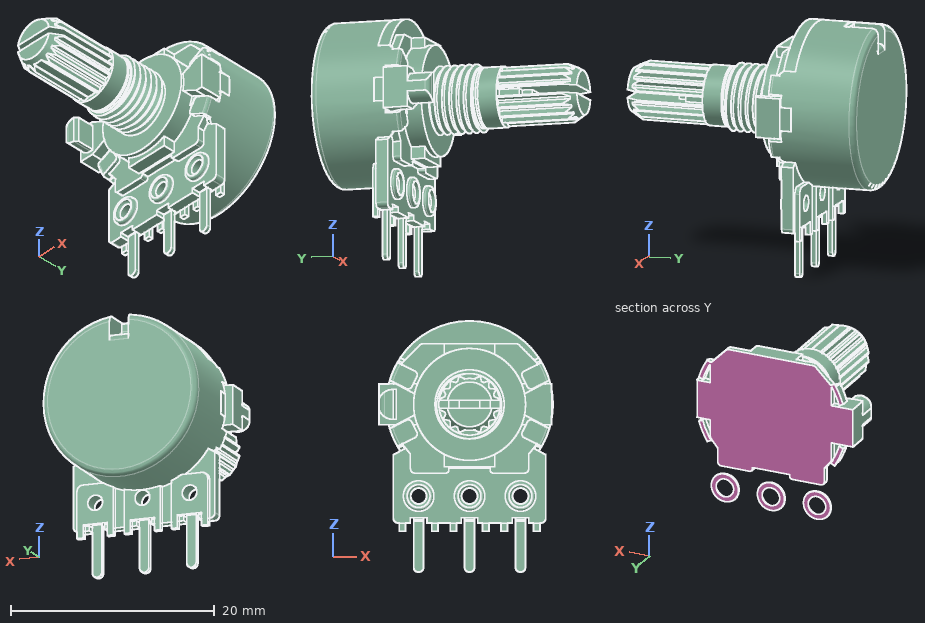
import cadquery as cq
import math


clearance = 1.0

cap_back = 10.6
plate_back = 4.5
board_back = 4.0
board_front = 2.8
cover_front = 2.0
tab_thickness = 0.5
tab_front = cover_front - tab_thickness
lug_front = 0.6
ear_front = 0.3
peg_front = -2.0
thread_end = -4.55
bushing_end = -5.0
collar_end = -6.95
shaft_end = -15.0

cap_radius = 8.2
board_radius = 8.21
cap_wall = 0.5
cap_fillet = 0.6
opening_back = 2.9
notch_half_height = 1.17
notch_flat = 8.1
notch_chamfer = 0.15

tab_angle = 26.5
tab_inner = 5.85
tab_low = -1.38
tab_high = 0.53
tab_corner = 0.4
fold_radius = 0.3
wall_edge = 1.06
wall_shoulder = 2.45
wall_bevel = 0.35
low_wall_top = 2.6

cap_slot_width = 2.0
cap_slot_floor = 6.2
cap_slot_end = 7.1
cap_slot_lip = 0.35
cap_slot_lip_radius = 0.5
cap_slot_bend = 1.05

cover_top = 5.95
cover_top_half = 4.75
cover_side = 6.6
cover_neck_z = -3.9
cover_leg_half = 5.8
cover_leg_z = -4.9
cover_bottom = -6.74
cover_corner = 0.4
recess_half = 2.02
recess_depth = 0.46
recess_fillet = 0.3
flange_radius = 5.5
lug_half_width = 2.48
lug_bottom = -6.1
ear_left = 8.9
ear_right = 8.05
ear_half_height = 2.02
ear_shoulder = 7.25
ear_base_front = 1.55
ear_root = 5.4
ear_root_half = 1.04

peg_x = -7.52
peg_radius = 1.47
peg_right = -7.18
peg_outer_fillet = 0.5
peg_inner_chamfer = 0.33

board_half_width = 7.5
board_shoulder_x = 6.8
board_shoulder_z = -4.57
board_side_top = -4.94
board_bottom = -11.66
board_corner = 0.5
terminal_pitch = 5.0
terminal_xs = [-terminal_pitch, 0.0, terminal_pitch]
notch_width = 1.6
notch_top = -11.15
pin_width = 1.0
pin_tip_radius = 0.49
pin_tip = -16.48
pin_front = 3.5
pin_bend = [(pin_front, -11.47), (3.57, -11.33), (3.8, notch_top)]
foot_half_width = 1.92
foot_inner_half = 1.27
foot_bottom = -12.46
foot_top = -7.08
foot_corner = 0.6
eyelet_z = -9.0
eyelet_radius = 1.5
eyelet_hole = 0.77
eyelet_front = 2.3
eyelet_outer_fillet = 0.28
eyelet_inner_fillet = 0.35

thread_radius = 3.4
root_radius = 3.02
thread_pitch = 0.75
thread_start = 0.915
thread_root_width = 0.745
thread_sink = 0.02
bushing_chamfer = 0.2
shaft_radius = 2.96
tip_radius = 2.2
tip_chamfer_start = -13.7
spline_core = 2.55
spline_angles = [30, 50, 70]
groove_floor_half = 0.12
groove_wall_angle = 45.0
flat_floor_half = 0.54
flat_wall_angle = 67.0
slot_width = 0.8
slot_steps = [(1.02, -10.0), (2.02, -9.0), (root_radius, collar_end)]


def face_sketch(y):
    """Workplane facing -Y at depth y: local x is X, local y is Z."""
    return cq.Workplane("XZ", origin=(0, y, 0))


def disc(radius, front, back):
    return face_sketch(back).circle(radius).extrude(back - front)


def block(x0, x1, front, back, z0, z1):
    return cq.Workplane("XY").box(x1 - x0, back - front, z1 - z0, centered=False).translate((x0, front, z0))


def prism(points, front, back):
    """Extrude an (X, Z) outline between two depths."""
    return face_sketch(back).polyline(points).close().extrude(back - front)


def mirrored_outline(half):
    """Complete an outline given as its +X half, listed from one end of the centre line to the other."""
    return half + [(-x, z) for x, z in reversed(half)]


def make_cap():
    cap = disc(cap_radius, board_back, cap_back).faces(">Y").edges().fillet(cap_fillet)
    slot_top = cap_radius + clearance
    lip_top = math.sqrt(cap_radius**2 - (cap_slot_width / 2) ** 2)
    lip_drop = cap_slot_lip_radius - math.sqrt(cap_slot_lip_radius**2 - cap_slot_lip**2)
    bend_start = cap_slot_end + cap_slot_lip + cap_slot_bend
    riser = cap_slot_end + cap_slot_lip
    slot = (
        cq.Workplane("YZ", origin=(-cap_slot_width / 2, 0, 0))
        .moveTo(cap_back, slot_top)
        .lineTo(cap_back, cap_slot_floor - cap_fillet)
        .radiusArc((cap_back - cap_fillet, cap_slot_floor), -cap_fillet)
        .lineTo(bend_start, cap_slot_floor)
        .radiusArc((riser, cap_slot_floor + cap_slot_bend), cap_slot_bend)
        .lineTo(riser, lip_top - lip_drop)
        .radiusArc((cap_slot_end, lip_top), -cap_slot_lip_radius)
        .lineTo(cap_slot_end, slot_top)
        .close()
        .extrude(cap_slot_width)
    )
    return cap.cut(slot)


def at_four_tabs(shape):
    """Copy a shape laid along +X to the four tab directions."""
    upper_right = shape.rotate((0, 0, 0), (0, 1, 0), -tab_angle)
    upper = upper_right.union(upper_right.mirror("YZ"))
    return upper.union(upper.mirror("XY"))


def make_side_walls():
    """Cap walls that reach forward on both sides and fold over the cover as four tabs."""
    blank = disc(cap_radius, tab_front, board_back).faces("<Y").edges().fillet(fold_radius)
    ring = blank.cut(disc(cap_radius - cap_wall, tab_front, board_back))
    tab_wall = [
        (board_back, tab_low),
        (board_back, wall_edge),
        (board_front, wall_edge),
        (wall_shoulder, wall_edge - wall_bevel),
        (wall_shoulder, tab_high),
        (tab_front, tab_high),
        (tab_front, tab_low),
    ]
    tab_walls = at_four_tabs(cq.Workplane("YZ").polyline(tab_wall).close().extrude(cap_radius))
    low_wall = [
        (board_back, notch_half_height),
        (board_back, low_wall_top),
        (opening_back, low_wall_top),
        (opening_back, notch_half_height + notch_chamfer),
        (opening_back + notch_chamfer, notch_half_height),
    ]
    low_walls = cq.Workplane("YZ").polyline(low_wall).close().extrude(cap_radius, both=True)
    low_walls = low_walls.union(low_walls.mirror("XY"))
    tab = (
        block(tab_inner, cap_radius, tab_front, cover_front, tab_low, tab_high)
        .edges("|Y and <X")
        .fillet(tab_corner)
    )
    walls = ring.intersect(tab_walls).union(ring.intersect(low_walls))
    return walls.union(blank.intersect(at_four_tabs(tab)))


def make_board():
    rim = disc(board_radius, board_front, board_back)
    wall_sector = block(0, board_radius, board_front, board_back, -board_radius / 2, wall_edge)
    board = rim.cut(at_four_tabs(wall_sector))
    board = board.union(disc(cap_radius - cap_wall, board_front, board_back))
    lower = prism(
        mirrored_outline([
            (board_shoulder_x, board_shoulder_z),
            (board_half_width, board_side_top),
            (board_half_width, board_bottom),
        ]),
        board_front,
        board_back,
    )
    board = board.union(lower.edges("|Y and <Z").fillet(board_corner))
    for x in terminal_xs:
        half = notch_width / 2
        board = board.cut(block(x - half, x + half, board_front, board_back, board_bottom, notch_top))
    keys = block(-notch_flat, notch_flat, board_front, board_back, -notch_half_height, notch_half_height)
    return board.union(keys)


def make_cover():
    diagonal_end = cover_top - (cover_side - cover_top_half)
    cover = prism(
        mirrored_outline([
            (cover_top_half, cover_top),
            (cover_side, diagonal_end),
            (cover_side, cover_neck_z),
            (cover_leg_half, cover_leg_z),
            (cover_leg_half, cover_bottom),
        ]),
        cover_front,
        board_front,
    )
    cover = cover.edges("|Y and (<Z or >Z)").fillet(cover_corner)
    recess = block(
        -recess_half, recess_half, cover_front, board_front, cover_bottom, cover_bottom + recess_depth
    )
    cover = cover.cut(recess)
    recess_mouth = cq.selectors.BoxSelector(
        (-recess_half - recess_fillet, cover_front - clearance, cover_bottom - recess_fillet),
        (recess_half + recess_fillet, board_front + clearance, cover_bottom + recess_fillet),
    )
    cover = cover.edges("|Y").edges(recess_mouth).fillet(recess_fillet)
    lugs = block(-lug_half_width, lug_half_width, lug_front, cover_front, lug_bottom, cover_top)
    return cover.union(lugs).union(disc(flange_radius, 0, board_front))


def make_ear(side, reach):
    taper = [
        (side * ear_root, ear_root_half),
        (side * ear_shoulder, ear_half_height),
        (side * reach, ear_half_height),
        (side * reach, -ear_half_height),
        (side * ear_shoulder, -ear_half_height),
        (side * ear_root, -ear_root_half),
        (0, -ear_root_half),
        (0, ear_root_half),
    ]
    x0, x1 = sorted((0, side * reach))
    base = block(x0, x1, ear_base_front, board_front, -ear_half_height, ear_half_height)
    return prism(taper, ear_front, board_front).union(base)


def make_peg():
    round_part = disc(peg_radius, peg_front, ear_front).translate((peg_x, 0, 0))
    round_part = round_part.union(
        block(peg_x, peg_right, peg_front, ear_front, -peg_radius, peg_radius)
    )
    side_outline = block(-ear_left, peg_right, peg_front, ear_front, -peg_radius, peg_radius)
    side_outline = side_outline.edges("|Z and <Y and <X").fillet(peg_outer_fillet)
    side_outline = side_outline.edges("|Z and <Y and >X").chamfer(peg_inner_chamfer)
    return round_part.intersect(side_outline)


def make_terminal(x):
    """Solder pin, two-footed rear plate and front eyelet of one terminal."""
    pin = (
        cq.Workplane("YZ", origin=(-pin_width / 2, 0, 0))
        .polyline([
            (board_back, pin_tip),
            (pin_front, pin_tip),
            *pin_bend,
            (board_back, notch_top),
        ])
        .close()
        .extrude(pin_width)
        .edges("|Y and <Z")
        .fillet(pin_tip_radius)
    )
    plate = block(-foot_half_width, foot_half_width, board_back, plate_back, foot_bottom, foot_top)
    plate = plate.edges("|Y and >Z").fillet(foot_corner)
    plate = plate.cut(
        block(-foot_inner_half, foot_inner_half, board_back, plate_back, foot_bottom, notch_top)
    )
    eyelet = disc(eyelet_radius, eyelet_front, board_back).faces("<Y").edges().fillet(eyelet_outer_fillet)
    return pin.union(plate).union(eyelet.translate((0, 0, eyelet_z))).translate((x, 0, 0))


def make_eyelet_bore(x):
    """Through hole with a rounded mouth at the front of the eyelet."""
    mouth_radius = eyelet_hole + eyelet_inner_fillet
    bore = (
        cq.Workplane("XY")
        .moveTo(0, eyelet_front)
        .lineTo(mouth_radius, eyelet_front)
        .radiusArc((eyelet_hole, eyelet_front + eyelet_inner_fillet), -eyelet_inner_fillet)
        .lineTo(eyelet_hole, plate_back)
        .lineTo(0, plate_back)
        .close()
        .revolve(360, (0, 0, 0), (0, 1, 0))
    )
    return bore.translate((x, 0, eyelet_z))


def make_bushing():
    """Threaded bushing; the sharp helical thread is trimmed between the flange and thread_end."""
    core = disc(root_radius, bushing_end, board_front).faces("<Y").edges().chamfer(bushing_chamfer)
    base_radius = root_radius - thread_sink
    height = thread_pitch * math.ceil(-thread_end / thread_pitch + 2)
    helix = cq.Wire.makeHelix(thread_pitch, height, base_radius, lefthand=True)
    half = thread_root_width / 2
    tooth = (
        cq.Workplane("XZ")
        .polyline([(base_radius, -half), (thread_radius, 0), (base_radius, half)])
        .close()
        .sweep(cq.Workplane(helix), isFrenet=True)
        .rotate((0, 0, 0), (1, 0, 0), 90)
        .translate((0, thread_start, 0))
    )
    tooth = tooth.intersect(disc(thread_radius + clearance, thread_end, board_front))
    return core.union(tooth)


def make_groove(floor_half, wall_angle, angle):
    """Cutter for one spline groove, centred on +Z and turned by angle about the shaft axis."""
    outer = root_radius + clearance
    spread = (outer - spline_core) * math.tan(math.radians(wall_angle))
    outline = [
        (floor_half, 0),
        (floor_half, spline_core),
        (floor_half + spread, outer),
    ]
    groove = prism(mirrored_outline(outline), shaft_end, collar_end)
    return groove.cut(disc(spline_core, shaft_end, collar_end)).rotate((0, 0, 0), (0, 1, 0), angle)


def make_shaft():
    shaft = (
        cq.Workplane("XY")
        .polyline([
            (0, 0),
            (root_radius, 0),
            (root_radius, collar_end),
            (shaft_radius, collar_end),
            (shaft_radius, tip_chamfer_start),
            (tip_radius, shaft_end),
            (0, shaft_end),
        ])
        .close()
        .revolve(360, (0, 0, 0), (0, 1, 0))
    )
    neck = disc(root_radius + clearance, bushing_end, 0)
    shaft = shaft.cut(neck)
    for half_turn in (0, 180):
        shaft = shaft.cut(make_groove(flat_floor_half, flat_wall_angle, half_turn))
        for angle in spline_angles:
            for side in (-1, 1):
                turn = half_turn + side * angle
                shaft = shaft.cut(make_groove(groove_floor_half, groove_wall_angle, turn))
    inner = 0
    half = slot_width / 2
    for outer, floor in slot_steps:
        shaft = shaft.cut(block(inner, outer, shaft_end, floor, -half, half))
        shaft = shaft.cut(block(-outer, -inner, shaft_end, floor, -half, half))
        inner = outer
    return shaft


result = make_cap().union(make_board()).union(make_side_walls()).union(make_cover())
result = result.union(make_ear(-1, ear_left)).union(make_ear(1, ear_right)).union(make_peg())
for terminal_x in terminal_xs:
    result = result.union(make_terminal(terminal_x)).cut(make_eyelet_bore(terminal_x))
result = result.union(make_bushing()).union(make_shaft())